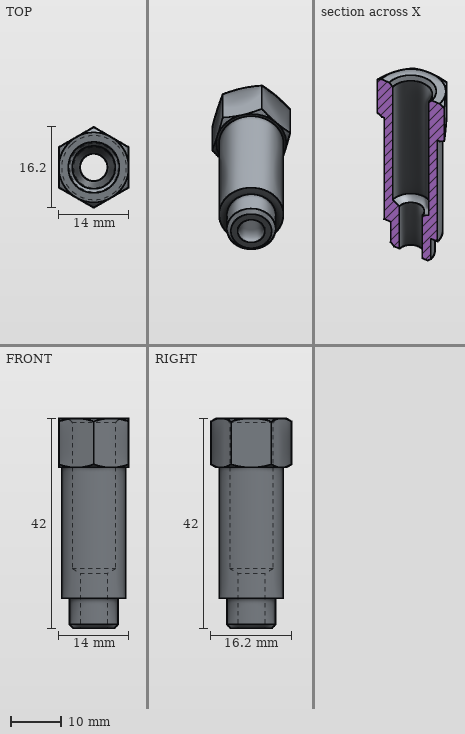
import cadquery as cq
import math

total_length = 42.0
tip_length = 6.0
head_height = 9.83
head_bottom = total_length - head_height

across_flats = 14.0
across_corners = across_flats / math.cos(math.radians(30))
shaft_diameter = 12.9
tip_diameter = 9.75
tip_chamfer = 0.8
head_chamfer_angle = 30.0

bore_diameter = 8.6
bore_mouth_diameter = 10.2
bore_depth = 30.0
through_diameter = 5.4
drill_point_angle = 118.0


def hex_head():
    """Hexagonal head with corners on the Y axis, its corners turned down at both ends."""
    prism = (
        cq.Workplane("XY", origin=(0, 0, head_bottom))
        .polygon(6, across_corners)
        .extrude(head_height)
        .rotate((0, 0, 0), (0, 0, 1), 30)
    )
    flat_radius = across_flats / 2
    envelope_radius = across_corners / 2 + 0.4
    drop = (envelope_radius - flat_radius) * math.tan(math.radians(head_chamfer_angle))
    envelope = (
        cq.Workplane("XZ")
        .moveTo(0, head_bottom)
        .lineTo(flat_radius, head_bottom)
        .lineTo(envelope_radius, head_bottom + drop)
        .lineTo(envelope_radius, total_length - drop)
        .lineTo(flat_radius, total_length)
        .lineTo(0, total_length)
        .close()
        .revolve(360, (0, 0, 0), (0, 1, 0))
    )
    return prism.intersect(envelope)


def stem():
    """Round shaft below the head, with a narrower chamfered tip."""
    tip = cq.Workplane("XY").circle(tip_diameter / 2).extrude(tip_length)
    tip = tip.faces("<Z").chamfer(tip_chamfer)
    shaft = (
        cq.Workplane("XY", origin=(0, 0, tip_length))
        .circle(shaft_diameter / 2)
        .extrude(head_bottom - tip_length)
    )
    return tip.union(shaft)


def stepped_bore():
    """Revolved void: through hole, drill-point cone, wide bore and 45 degree mouth."""
    through_radius = through_diameter / 2
    bore_radius = bore_diameter / 2
    mouth_radius = bore_mouth_diameter / 2
    bore_bottom = total_length - bore_depth
    cone_height = (bore_radius - through_radius) / math.tan(math.radians(drill_point_angle / 2))
    mouth_depth = mouth_radius - bore_radius
    return (
        cq.Workplane("XZ")
        .lineTo(through_radius, 0)
        .lineTo(through_radius, bore_bottom - cone_height)
        .lineTo(bore_radius, bore_bottom)
        .lineTo(bore_radius, total_length - mouth_depth)
        .lineTo(mouth_radius, total_length)
        .lineTo(0, total_length)
        .close()
        .revolve(360, (0, 0, 0), (0, 1, 0))
    )


result = hex_head().union(stem()).cut(stepped_bore())